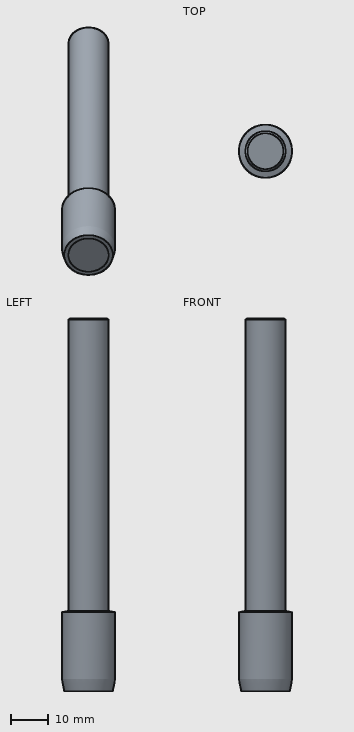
import cadquery as cq

pin_length = 100.0
pin_radius = 5.4
pin_tip_radius = 4.8
pin_tip_height = 0.5

sleeve_radius = 7.15
sleeve_rim_height = 21.2
sleeve_crown_rise = 0.4
nose_height = 3.3
nose_end_radius = 6.5
nose_bulge = 0.05


def make_pin():
    """Round pin with a shallow cone around its flat tip, standing on Z = 0."""
    return (
        cq.Workplane("XZ")
        .lineTo(pin_radius, 0)
        .lineTo(pin_radius, pin_length - pin_tip_height)
        .lineTo(pin_tip_radius, pin_length)
        .lineTo(0, pin_length)
        .close()
        .revolve(360, (0, 0, 0), (0, 1, 0))
    )


def make_sleeve():
    """Sleeve with a through bore, a low conical top and a rounded, narrowing nose."""
    nose_middle_radius = (sleeve_radius + nose_end_radius) / 2 + nose_bulge
    return (
        cq.Workplane("XZ")
        .moveTo(pin_radius, 0)
        .lineTo(nose_end_radius, 0)
        .threePointArc((nose_middle_radius, nose_height / 2), (sleeve_radius, nose_height))
        .lineTo(sleeve_radius, sleeve_rim_height)
        .lineTo(pin_radius, sleeve_rim_height + sleeve_crown_rise)
        .close()
        .revolve(360, (0, 0, 0), (0, 1, 0))
    )


pin = make_pin()
sleeve = make_sleeve()

result = cq.Compound.makeCompound([pin.val(), sleeve.val()])